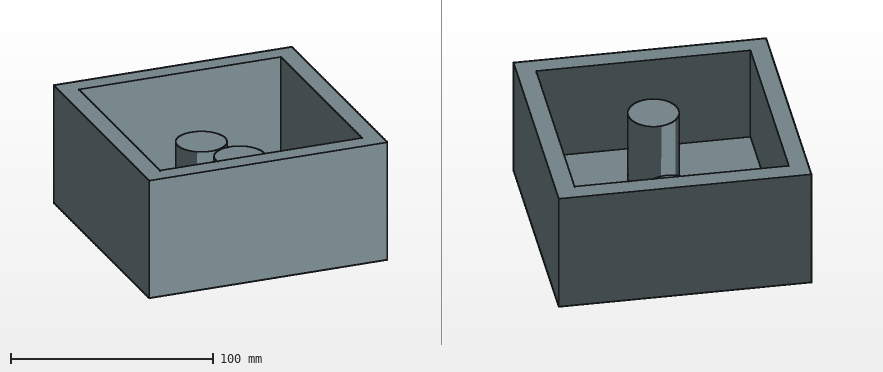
import cadquery as cq

side = 127.0
height = 63.5
wall = 9.7
floor = 12.7

post_diameter = 25.4
post_spacing = 50.8
left_post_top = 38.1
right_post_top = 50.8


def make_box():
    """Box resting on Z = 0, hollowed from above."""
    cavity_side = side - 2 * wall
    outer = cq.Workplane("XY").box(side, side, height, centered=(True, True, False))
    cavity = (
        cq.Workplane("XY", origin=(0, 0, floor))
        .rect(cavity_side, cavity_side)
        .extrude(height - floor)
    )
    return outer.cut(cavity)


def make_post(x, top):
    """Post running from the underside of the floor up to the given level."""
    return cq.Workplane("XY").center(x, 0).circle(post_diameter / 2).extrude(top)


result = (
    make_box()
    .union(make_post(-post_spacing / 2, left_post_top))
    .union(make_post(post_spacing / 2, right_post_top))
    .clean()
)